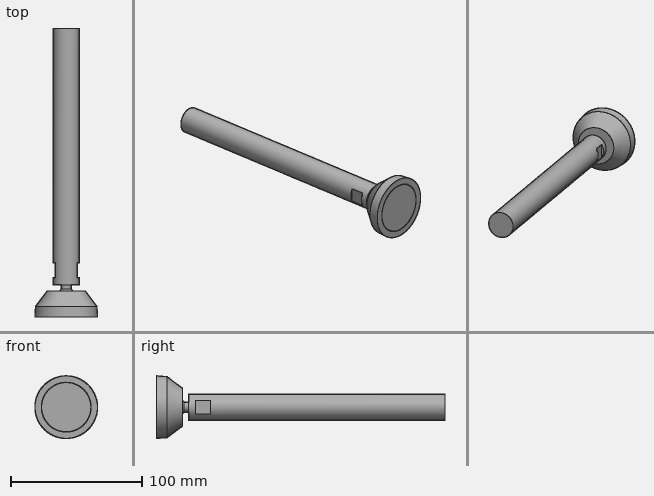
import cadquery as cq
import math

total_length = 220.0

foot_diameter = 48.0
rim_top_diameter = 47.0
rim_height = 8.0
foot_top_diameter = 29.0
foot_height = 20.0

groove_outer_diameter = 38.0
pad_diameter = 37.5
groove_depth = 2.0

neck_diameter = 7.8
ball_diameter = 12.0
neck_start = 21.2
rod_diameter = 20.0
rod_start = 24.6
flat_start = 30.0
flat_length = 11.2
across_flats = 17.0

ball_radius = ball_diameter / 2
neck_radius = neck_diameter / 2
ball_center = neck_start - math.sqrt(ball_radius**2 - neck_radius**2)


def cylinder_along_y(diameter, start, end):
    """Solid cylinder on the Y axis from Y = start to Y = end."""
    base = cq.Workplane("XZ", origin=(0, start, 0))
    return base.circle(diameter / 2).extrude(start - end)


def make_ball():
    """Ball that carries the spindle inside the foot."""
    return cq.Workplane("XY", origin=(0, ball_center, 0)).sphere(ball_radius)


def make_foot():
    """Round foot with a pad groove underneath and a ball socket open at the top."""
    half_profile = [
        (0, 0),
        (foot_diameter / 2, 0),
        (rim_top_diameter / 2, rim_height),
        (foot_top_diameter / 2, foot_height),
        (0, foot_height),
    ]
    body = cq.Workplane("XY").polyline(half_profile).close().revolve(360, (0, 0, 0), (0, 1, 0))
    groove = cylinder_along_y(groove_outer_diameter, 0, groove_depth)
    groove = groove.cut(cylinder_along_y(pad_diameter, 0, groove_depth))
    return body.cut(groove).cut(make_ball())


def make_spindle():
    """Ball, neck and rod in one piece, with a pair of opposite wrench flats."""
    neck = cylinder_along_y(neck_diameter, ball_center, rod_start)
    rod = cylinder_along_y(rod_diameter, rod_start, total_length)
    flat_depth = (rod_diameter - across_flats) / 2
    for side in (-1, 1):
        flat_cut = cq.Workplane("XY").box(flat_depth, flat_length, rod_diameter)
        flat_x = side * (across_flats + flat_depth) / 2
        rod = rod.cut(flat_cut.translate((flat_x, flat_start + flat_length / 2, 0)))
    return make_ball().union(neck).union(rod)


foot = make_foot()
spindle = make_spindle()

result = cq.Compound.makeCompound([foot.val(), spindle.val()])